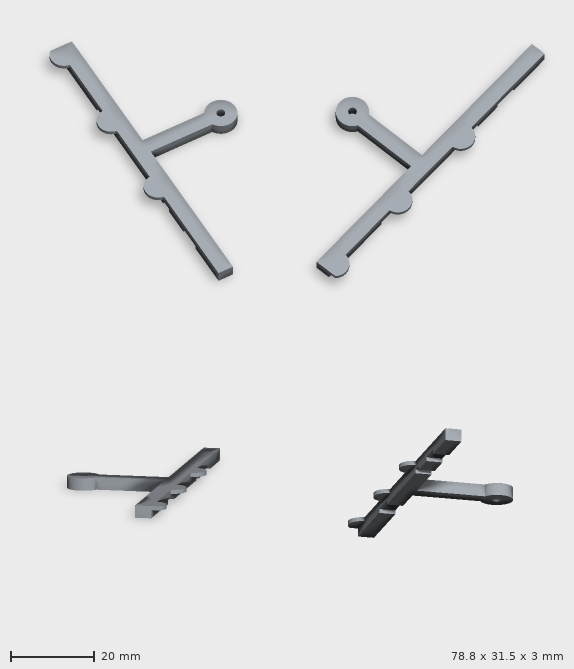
import cadquery as cq


bar_length = 78.75
bar_width = 4.0
thickness = 3.0
bar_left = -2.57
bar_front = -0.4
bar_back = bar_front + bar_width

lobe_radius = 3.5
lobe_thickness = 1.0
lobe_pitch = 23.0
lobe_count = 3

stem_x = 34.0
stem_width = 4.0
eyelet_y = 24.0
eyelet_diameter = 8.0
eyelet_hole_diameter = 2.1

notch_depth = 1.0
notches = [(19.25, 6.85), (51.7, 2.85), (61.6, 5.95)]


def make_bar():
    return cq.Workplane("XY").box(bar_length, bar_width, thickness, centered=False).translate(
        (bar_left, bar_front, 0)
    )


def make_lobe(index):
    """A thin disc, trimmed flush with the left end of the bar where it would overhang."""
    disc = (
        cq.Workplane("XY", origin=(index * lobe_pitch, 0, thickness - lobe_thickness))
        .circle(lobe_radius)
        .extrude(lobe_thickness)
    )
    trim = (
        cq.Workplane("XY")
        .box(bar_length, 2 * lobe_radius, thickness, centered=False)
        .translate((bar_left, -lobe_radius, 0))
    )
    return disc.intersect(trim)


def make_stem():
    """The stem with its round eyelet, without the hole."""
    stem_length = eyelet_y - bar_back
    stem = (
        cq.Workplane("XY", origin=(stem_x, bar_back + stem_length / 2, 0))
        .rect(stem_width, stem_length)
        .extrude(thickness)
    )
    eyelet = cq.Workplane("XY", origin=(stem_x, eyelet_y, 0)).circle(eyelet_diameter / 2).extrude(thickness)
    return stem.union(eyelet)


def make_eyelet_hole():
    return (
        cq.Workplane("XY", origin=(stem_x, eyelet_y, 0))
        .circle(eyelet_hole_diameter / 2)
        .extrude(thickness)
    )


def make_notch(start, length):
    return (
        cq.Workplane("XY")
        .box(length, bar_width, notch_depth, centered=False)
        .translate((bar_left + start, bar_front, 0))
    )


result = make_bar().union(make_stem())
for lobe_index in range(lobe_count):
    result = result.union(make_lobe(lobe_index))
result = result.cut(make_eyelet_hole())
for notch_start, notch_length in notches:
    result = result.cut(make_notch(notch_start, notch_length))